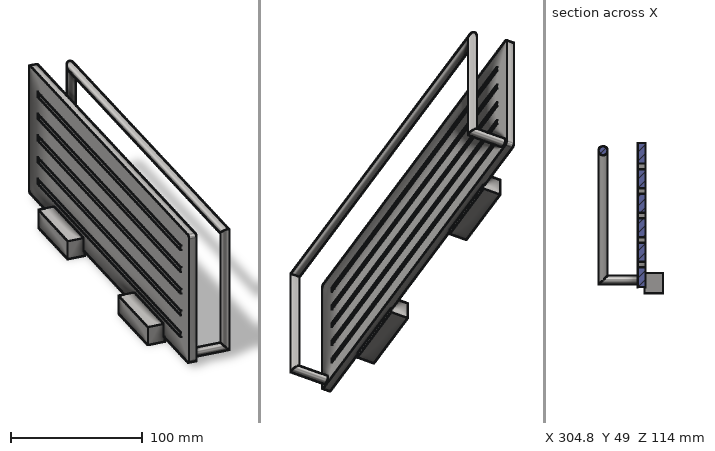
import cadquery as cq

plate_length = 304.8
plate_height = 109.52
plate_thickness = 6.2
corner_radius = 2.5

slot_count = 5
slot_height = 4.0
slot_pitch = 18.6
slot_end_margin = 16.0
lowest_slot_z = 17.3
slot_length = plate_length - 2 * slot_end_margin

block_length = 56.0
block_height = 15.5
block_drop = 4.5
block_depth = 14.15
block_sink = 1.0
block_center_x = plate_length / 4

rod_diameter = 7.0
rail_reach = 29.65
rail_side_inset = 2.6
rail_top_inset = 2.5
rail_bottom_inset = 2.0
rod_radius = rod_diameter / 2


def make_plate():
    """Upright rectangular plate with rounded corners."""
    return (
        cq.Workplane("XY")
        .box(plate_length, plate_thickness, plate_height, centered=(True, False, False))
        .translate((0, -plate_thickness, 0))
        .edges("|Y")
        .fillet(corner_radius)
    )


def make_slots():
    """Cutters for the row of evenly spaced square-ended slots."""
    slots = cq.Workplane("XY")
    for index in range(slot_count):
        slot_z = lowest_slot_z + index * slot_pitch
        slots = slots.union(
            cq.Workplane("XY")
            .box(slot_length, plate_thickness, slot_height)
            .translate((0, -plate_thickness / 2, slot_z))
        )
    return slots


def make_block(center_x):
    """Rectangular block on the front face, near the bottom edge."""
    back_y = block_sink - plate_thickness
    return (
        cq.Workplane("XY")
        .box(block_length, block_depth, block_height, centered=(True, False, False))
        .translate((center_x, back_y - block_depth, -block_drop))
    )


def make_rail():
    """Mitred round bar: out from the plate, up, across and back down to the plate."""
    side_x = plate_length / 2 - rail_side_inset - rod_radius
    back_y = rail_reach - rod_radius
    low_z = rail_bottom_inset + rod_radius
    high_z = plate_height - rail_top_inset - rod_radius
    start_y = -plate_thickness / 2
    path = cq.Wire.makePolygon(
        [
            cq.Vector(-side_x, start_y, low_z),
            cq.Vector(-side_x, back_y, low_z),
            cq.Vector(-side_x, back_y, high_z),
            cq.Vector(side_x, back_y, high_z),
            cq.Vector(side_x, back_y, low_z),
            cq.Vector(side_x, start_y, low_z),
        ]
    )
    return (
        cq.Workplane("XZ", origin=(-side_x, start_y, low_z))
        .circle(rod_radius)
        .sweep(path, transition="right")
    )


result = make_plate().cut(make_slots()).union(make_rail())
for block_x in (-block_center_x, block_center_x):
    result = result.union(make_block(block_x))